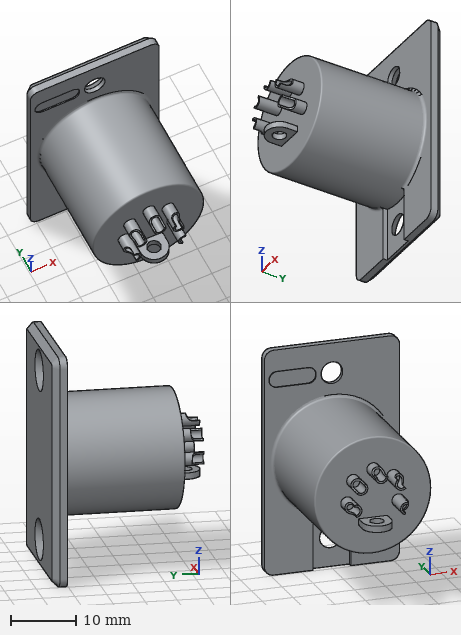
import cadquery as cq
import math

plate_width = 22.0
plate_height = 36.7
plate_thickness = 2.25
plate_corner_radius = 1.5
front_chamfer = 1.03

channel_width = 6.13
channel_depth = 0.75

screw_hole_diameter = 3.5
screw_hole_height = 13.5
countersink_start = channel_depth

label_length = 7.65
label_height = 2.57
label_depth = 0.22
label_x = -6.4

barrel_radius = 9.47
barrel_length = 18.68
barrel_end_edge = 0.25
barrel_root_fillet = 0.48

pin_circle_radius = 4.3
pin_angles = [-17.5, 40.5, 90.0, 139.5, 190.0]
pin_radius = 1.01
pin_length = 3.95
cup_bore_radius = 0.7
cup_opening_length = 2.02
cup_bore_depth = 2.95

tab_width = 4.65
tab_length = 4.15
tab_thickness = 1.03
tab_height = -4.07
tab_hole_diameter = 2.2

barrel_end_y = -barrel_length


def rear_sketch(y=0.0):
    """Workplane at depth y, local axes X and Z, extruding toward -Y."""
    return cq.Workplane("XZ", origin=(0, y, 0))


def make_plate():
    plate = rear_sketch().rect(plate_width, plate_height).extrude(-plate_thickness)
    plate = plate.edges("|Y").fillet(plate_corner_radius)
    return plate.faces(">Y").edges().chamfer(front_chamfer)


def make_barrel():
    barrel = rear_sketch().circle(barrel_radius).extrude(barrel_length)
    return barrel.faces("<Y").edges().fillet(barrel_end_edge)


def make_root_fillet():
    """Concave ring that blends the barrel into the plate, revolved about Y."""
    mid_offset = barrel_root_fillet * (1 - math.sqrt(0.5))
    profile = (
        cq.Workplane("XY")
        .lineTo(barrel_radius + barrel_root_fillet, 0)
        .threePointArc(
            (barrel_radius + mid_offset, -mid_offset),
            (barrel_radius, -barrel_root_fillet),
        )
        .lineTo(0, -barrel_root_fillet)
        .close()
    )
    return profile.revolve(360, (0, 0, 0), (0, 1, 0))


def make_channel():
    """Cutter for the channel; it also clears the blend below the barrel."""
    cutter = (
        rear_sketch(channel_depth)
        .center(0, -plate_height / 4)
        .rect(channel_width, plate_height / 2)
        .extrude(channel_depth + barrel_root_fillet)
    )
    core = rear_sketch(channel_depth).circle(barrel_radius).extrude(barrel_length)
    return cutter.cut(core)


def make_screw_hole():
    """Cutter along Y: a straight bore that widens at 45 degrees up to the front face."""
    bore_radius = screw_hole_diameter / 2
    rim_radius = bore_radius + plate_thickness - countersink_start
    profile = (
        cq.Workplane("XY")
        .lineTo(bore_radius, 0)
        .lineTo(bore_radius, countersink_start)
        .lineTo(rim_radius, plate_thickness)
        .lineTo(0, plate_thickness)
        .close()
    )
    return profile.revolve(360, (0, 0, 0), (0, 1, 0))


def make_label_recess():
    return (
        rear_sketch(label_depth)
        .center(label_x, screw_hole_height)
        .slot2D(label_length, label_height)
        .extrude(label_depth)
    )


def make_pin():
    """Pin along -Y from y = 0, with a cup that opens toward +X."""
    pin = rear_sketch().circle(pin_radius).extrude(pin_length)
    opening_y = cup_opening_length - pin_length
    arc_mid = pin_radius * (1 - math.sqrt(0.5))
    opening = (
        cq.Workplane("XY")
        .moveTo(pin_radius, opening_y)
        .threePointArc((arc_mid, opening_y - arc_mid), (0, opening_y - pin_radius))
        .lineTo(0, -pin_length)
        .lineTo(pin_radius, -pin_length)
        .close()
        .extrude(pin_radius, both=True)
    )
    bore = rear_sketch(-pin_length).circle(cup_bore_radius).extrude(-cup_bore_depth)
    return pin.cut(opening).cut(bore)


def make_tab():
    """Flat tab with a round end and an eyelet hole on the same center."""
    round_center_y = barrel_end_y - tab_length + tab_width / 2
    sheet = cq.Workplane("XY", origin=(0, 0, tab_height - tab_thickness / 2))
    tab = (
        sheet.moveTo(-tab_width / 2, barrel_end_y)
        .lineTo(-tab_width / 2, round_center_y)
        .threePointArc((0, barrel_end_y - tab_length), (tab_width / 2, round_center_y))
        .lineTo(tab_width / 2, barrel_end_y)
        .close()
        .extrude(tab_thickness)
    )
    hole = sheet.center(0, round_center_y).circle(tab_hole_diameter / 2).extrude(tab_thickness)
    return tab.cut(hole)


result = make_plate().union(make_root_fillet()).union(make_barrel())
result = result.cut(make_channel()).cut(make_label_recess())
for height in (screw_hole_height, -screw_hole_height):
    result = result.cut(make_screw_hole().translate((0, 0, height)))

pin = make_pin().translate((pin_circle_radius, barrel_end_y, 0))
for angle in pin_angles:
    result = result.union(pin.rotate((0, 0, 0), (0, 1, 0), -angle))

result = result.union(make_tab())